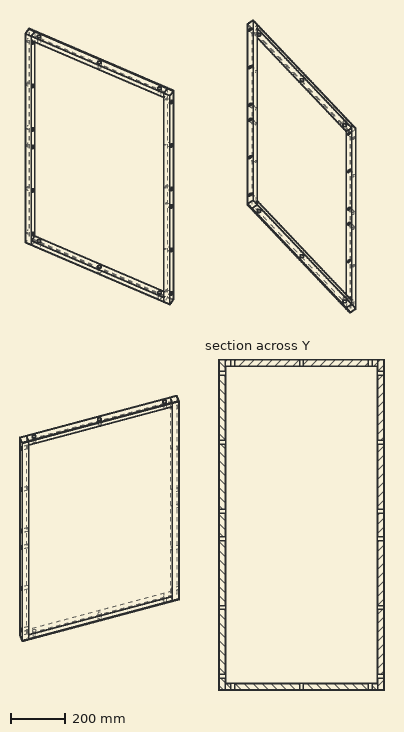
import cadquery as cq

panel_width = 609.6
panel_height = 1219.2
panel_thickness = 3.175
bar_size = 25.4
hole_diameter = 13.1
hole_end_distance = 50.8
hole_pitch = 254.0
stile_holes_per_end = 3

bar_center_y = bar_size / 2
panel_center_y = bar_size + panel_thickness / 2
stile_center_x = (panel_width - bar_size) / 2
rail_center_z = (panel_height - bar_size) / 2
rail_length = panel_width - 2 * bar_size

rail_hole_end_x = panel_width / 2 - hole_end_distance
rail_hole_xs = [-rail_hole_end_x, 0, rail_hole_end_x]

upper_hole_zs = [
    panel_height / 2 - hole_end_distance - i * hole_pitch for i in range(stile_holes_per_end)
]
stile_hole_zs = upper_hole_zs + [-z for z in upper_hole_zs]


def make_panel():
    """Flat sheet covering the whole back of the frame."""
    sheet = cq.Workplane("XY").box(panel_width, panel_thickness, panel_height)
    return sheet.translate((0, panel_center_y, 0))


def make_stile(center_x):
    """Full-height vertical bar with holes drilled through along X."""
    bar = cq.Workplane("XY").box(bar_size, bar_size, panel_height)
    hole_points = [(0, z) for z in stile_hole_zs]
    drilled = bar.faces(">X").workplane(origin=(0, 0, 0)).pushPoints(hole_points).hole(hole_diameter)
    return drilled.translate((center_x, bar_center_y, 0))


def make_rail(center_z):
    """Horizontal bar fitted between the stiles, with holes drilled through along Z."""
    bar = cq.Workplane("XY").box(rail_length, bar_size, bar_size)
    hole_points = [(x, 0) for x in rail_hole_xs]
    drilled = bar.faces(">Z").workplane(origin=(0, 0, 0)).pushPoints(hole_points).hole(hole_diameter)
    return drilled.translate((0, bar_center_y, center_z))


panel = make_panel()
stiles = [make_stile(side * stile_center_x) for side in (-1, 1)]
rails = [make_rail(end * rail_center_z) for end in (-1, 1)]

result = cq.Compound.makeCompound([body.val() for body in [panel, *stiles, *rails]])